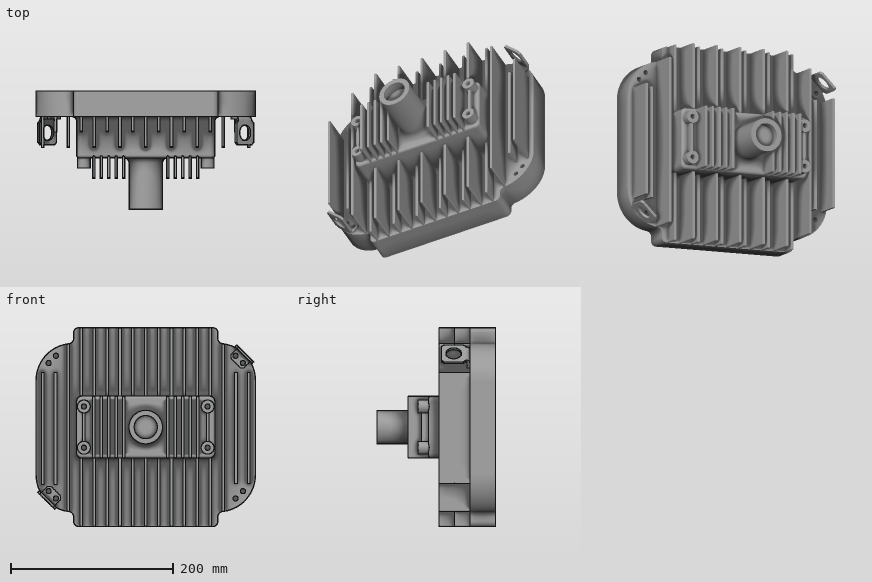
import cadquery as cq
import math


SELECTION_MARGIN = 0.1

BASE_WIDTH = 270.51
BASE_SIDE_HEIGHT = 207.5
BASE_SIDE_CENTER_Z = -0.635
BASE_CORNER_RADIUS = 45.72
BASE_THICKNESS = 31.75
SPINE_WIDTH = 177.8
SPINE_HEIGHT = 245.11
SPINE_RADIUS = 6.35

BLOCK_WIDTH = 170.18
BLOCK_HEIGHT = 76.2
BLOCK_LEVEL = BASE_THICKNESS + 50.8
BLOCK_RADIUS = 6.35
BLOCK_ROOT_RADIUS = 6.35
BLOCK_EDGE_RADIUS = 3.175
BLOCK_EDGE_LEVEL = BLOCK_LEVEL - BLOCK_EDGE_RADIUS

TUBE_DIAMETER = 41.275
TUBE_LEVEL = 146.05
TUBE_ROOT_RADIUS = 6.35
BORE_DIAMETER = 28.575
BORE_DEPTH = 12.7

FIN_THICKNESS = 3.175
FIN_END_RADIUS = 1.5
FIN_PITCH = 15.875
TALL_FIN_LEVEL = BASE_THICKNESS + 38.1
SHORT_FIN_LEVEL = BASE_THICKNESS + 19.05
SPINE_FINS_PER_SIDE = 5
SHOULDER_FIN = 6
SHOULDER_FIN_LENGTH = 207.0
SIDE_FINS = (7, 8)
SIDE_FIN_TOP = 67.5
SIDE_FIN_BOTTOM_LEFT = -70.9
SIDE_FIN_BOTTOM_RIGHT = -69.3

BLOCK_FIN_LEVEL = BASE_THICKNESS + 76.2
BLOCK_FIN_PITCH = 9.144
BLOCK_FIN_FIRST_X = 27.3
BLOCK_FINS_PER_SIDE = 5

BOSS_X = 76.2
BOSS_Z = 25.4
BOSS_DIAMETER = 15.875
BOSS_LEVEL = BASE_THICKNESS + 63.5
BOSS_HOLE_DIAMETER = 6.35
BOSS_HOLE_DEPTH = 12.7
RIB_THICKNESS = 3.175
RIB_LEVEL = 91.44

BRACKET_ANGLE = 45
MOUNT_X = 115.15
MOUNT_Z = 83.4
MOUNT_HOLE_SPACING = 12.7
MOUNT_HOLE_DIAMETER = 6.35
MOUNT_HOLE_DEPTH = 12.7
BRACKET_THICKNESS = 3.175
BRACKET_BEND_RADIUS = 1.5 * BRACKET_THICKNESS
BRACKET_CHAMFER = 3.175
FOOT_WIDTH = 22.86
FOOT_HOLE_TO_EDGE = 6.35
FOOT_HOLE_TO_LEG = 10.5
LUG_WIDTH = 29.6
LUG_LEVEL = BASE_THICKNESS + 34.925
LUG_HOLE_DIAMETER = 19.05


def front_plane(level):
    """Plane facing -Y at a level; its own x and y run along X and Z."""
    return cq.Workplane("XZ", origin=(0, -level, 0))


def upright_slab(x, z_low, z_high, thickness, level_low, level_high):
    """Upright slab centred on x, standing between two levels."""
    return (
        front_plane(level_low)
        .center(x, (z_low + z_high) / 2)
        .rect(thickness, z_high - z_low)
        .extrude(level_high - level_low)
    )


def fin(x, z_low, z_high, level_low, level_high):
    return upright_slab(x, z_low, z_high, FIN_THICKNESS, level_low, level_high)


def round_ended_fin(x, length, level_low, level_high, center_z=0):
    """Fin with the free edges of both end faces rounded."""
    plain = fin(x, center_z - length / 2, center_z + length / 2, level_low, level_high)
    hidden_edges = cq.selectors.BoxSelector(
        (x - FIN_THICKNESS, -level_low - FIN_END_RADIUS, -length),
        (x + FIN_THICKNESS, -level_low + FIN_END_RADIUS, length),
    )
    return plain.faces("<Z or >Z").edges(cq.selectors.InverseSelector(hidden_edges)).fillet(FIN_END_RADIUS)


def top_corner_filler(side_center_z):
    """Filler for the upper right inner corner where the spine leaves the side.

    Its concave arc touches the side of the spine and the large corner arc of the base.
    """
    arc_x = BASE_WIDTH / 2 - BASE_CORNER_RADIUS
    arc_z = side_center_z + BASE_SIDE_HEIGHT / 2 - BASE_CORNER_RADIUS
    round_x = SPINE_WIDTH / 2 + SPINE_RADIUS
    reach = BASE_CORNER_RADIUS + SPINE_RADIUS
    round_z = arc_z + math.sqrt(reach**2 - (round_x - arc_x) ** 2)
    touch_x = arc_x + (round_x - arc_x) * BASE_CORNER_RADIUS / reach
    touch_z = arc_z + (round_z - arc_z) * BASE_CORNER_RADIUS / reach
    middle_angle = (math.pi + math.atan2(touch_z - round_z, touch_x - round_x) % (2 * math.pi)) / 2
    middle = (
        round_x + SPINE_RADIUS * math.cos(middle_angle),
        round_z + SPINE_RADIUS * math.sin(middle_angle),
    )
    return (
        front_plane(0)
        .moveTo(SPINE_WIDTH / 2, round_z)
        .threePointArc(middle, (touch_x, touch_z))
        .lineTo(arc_x, arc_z)
        .lineTo(SPINE_WIDTH / 2, arc_z)
        .close()
        .extrude(BASE_THICKNESS)
    )


def base_plate():
    sides = (
        front_plane(0)
        .center(0, BASE_SIDE_CENTER_Z)
        .rect(BASE_WIDTH, BASE_SIDE_HEIGHT)
        .extrude(BASE_THICKNESS)
        .edges("|Y")
        .fillet(BASE_CORNER_RADIUS)
    )
    spine = (
        front_plane(0)
        .rect(SPINE_WIDTH, SPINE_HEIGHT)
        .extrude(BASE_THICKNESS)
        .edges("|Y")
        .fillet(SPINE_RADIUS)
    )
    corner_fillers = top_corner_filler(BASE_SIDE_CENTER_Z).union(
        top_corner_filler(-BASE_SIDE_CENTER_Z).mirror("XY")
    )
    return sides.union(spine).union(corner_fillers).union(corner_fillers.mirror("YZ"))


def add_block(body):
    block = (
        front_plane(0)
        .rect(BLOCK_WIDTH, BLOCK_HEIGHT)
        .extrude(BLOCK_LEVEL)
        .edges("|Y")
        .fillet(BLOCK_RADIUS)
        .faces("<Y")
        .edges()
        .fillet(BLOCK_EDGE_RADIUS)
    )
    joined = body.union(block)
    half_width = BLOCK_WIDTH / 2 + SELECTION_MARGIN
    half_height = BLOCK_HEIGHT / 2 + SELECTION_MARGIN
    root_edges = cq.selectors.BoxSelector(
        (-half_width, -BASE_THICKNESS - SELECTION_MARGIN, -half_height),
        (half_width, -BASE_THICKNESS + SELECTION_MARGIN, half_height),
        boundingbox=True,
    )
    return joined.edges(root_edges).fillet(BLOCK_ROOT_RADIUS)


def add_tube(body):
    tube_radius = TUBE_DIAMETER / 2
    flare_radius = tube_radius + TUBE_ROOT_RADIUS
    flare_level = BLOCK_LEVEL + TUBE_ROOT_RADIUS
    bend = TUBE_ROOT_RADIUS * (1 - math.sqrt(0.5))
    bore_bottom = TUBE_LEVEL - BORE_DEPTH
    profile = (
        cq.Workplane("XY")
        .moveTo(0, -BLOCK_LEVEL + BLOCK_EDGE_RADIUS)
        .lineTo(flare_radius, -BLOCK_LEVEL + BLOCK_EDGE_RADIUS)
        .lineTo(flare_radius, -BLOCK_LEVEL)
        .threePointArc((tube_radius + bend, -BLOCK_LEVEL - bend), (tube_radius, -flare_level))
        .lineTo(tube_radius, -TUBE_LEVEL)
        .lineTo(BORE_DIAMETER / 2, -TUBE_LEVEL)
        .lineTo(BORE_DIAMETER / 2, -bore_bottom)
        .lineTo(0, -bore_bottom)
        .close()
    )
    return body.union(profile.revolve(360, (0, 0, 0), (0, 1, 0)))


def base_fin_level(place):
    """Fins alternate: even places are tall, odd places are short."""
    return TALL_FIN_LEVEL if place % 2 == 0 else SHORT_FIN_LEVEL


def add_base_fins(body):
    for place in range(-SPINE_FINS_PER_SIDE, SPINE_FINS_PER_SIDE + 1):
        full = round_ended_fin(place * FIN_PITCH, SPINE_HEIGHT, BASE_THICKNESS, base_fin_level(place))
        body = body.union(full)
    for side in (-1, 1):
        shoulder = round_ended_fin(
            side * SHOULDER_FIN * FIN_PITCH,
            SHOULDER_FIN_LENGTH,
            BASE_THICKNESS,
            base_fin_level(SHOULDER_FIN),
            BASE_SIDE_CENTER_Z,
        )
        body = body.union(shoulder)
        bottom = SIDE_FIN_BOTTOM_LEFT if side < 0 else SIDE_FIN_BOTTOM_RIGHT
        for place in SIDE_FINS:
            x = side * place * FIN_PITCH
            body = body.union(fin(x, bottom, SIDE_FIN_TOP, BASE_THICKNESS, base_fin_level(place)))
    return body


def add_block_fins(body):
    for side in (-1, 1):
        for place in range(BLOCK_FINS_PER_SIDE):
            x = side * (BLOCK_FIN_FIRST_X + place * BLOCK_FIN_PITCH)
            body = body.union(round_ended_fin(x, BLOCK_HEIGHT, BLOCK_EDGE_LEVEL, BLOCK_FIN_LEVEL))
    return body


def add_bosses(body):
    for side in (-1, 1):
        body = body.union(
            upright_slab(side * BOSS_X, -BOSS_Z, BOSS_Z, RIB_THICKNESS, BLOCK_EDGE_LEVEL, RIB_LEVEL)
        )
    centres = [(x, z) for x in (-BOSS_X, BOSS_X) for z in (-BOSS_Z, BOSS_Z)]
    bosses = (
        front_plane(BLOCK_EDGE_LEVEL)
        .pushPoints(centres)
        .circle(BOSS_DIAMETER / 2)
        .extrude(BOSS_LEVEL - BLOCK_EDGE_LEVEL)
    )
    holes = (
        front_plane(BOSS_LEVEL)
        .pushPoints(centres)
        .circle(BOSS_HOLE_DIAMETER / 2)
        .extrude(-BOSS_HOLE_DEPTH)
    )
    return body.union(bosses).cut(holes)


def cut_mount_holes(body):
    """A diagonal pair of blind holes in each of the four base corners."""
    angle = math.radians(BRACKET_ANGLE)
    offset_x = MOUNT_HOLE_SPACING / 2 * math.cos(angle)
    offset_z = MOUNT_HOLE_SPACING / 2 * math.sin(angle)
    pair = [(MOUNT_X - offset_x, MOUNT_Z + offset_z), (MOUNT_X + offset_x, MOUNT_Z - offset_z)]
    centres = [(side_x * x, side_z * z) for side_x in (-1, 1) for side_z in (-1, 1) for x, z in pair]
    holes = (
        front_plane(BASE_THICKNESS)
        .pushPoints(centres)
        .circle(MOUNT_HOLE_DIAMETER / 2)
        .extrude(-MOUNT_HOLE_DEPTH)
    )
    return body.cut(holes)


def make_housing():
    body = add_block(base_plate())
    body = add_tube(body)
    body = add_base_fins(body)
    body = add_block_fins(body)
    body = add_bosses(body)
    return cut_mount_holes(body)


def make_bracket():
    """Bent bracket on the upper right corner.

    It is made with its width along X and its foot reaching out along +Z from the
    midpoint of its two holes, then turned so that the lug faces the corner.
    """
    leg_out = FOOT_HOLE_TO_LEG
    bend_level = BASE_THICKNESS + BRACKET_BEND_RADIUS
    foot_top = BASE_THICKNESS + BRACKET_THICKNESS
    bend_start = leg_out - BRACKET_BEND_RADIUS
    outer_reach = BRACKET_BEND_RADIUS * math.sqrt(0.5)
    inner_radius = BRACKET_BEND_RADIUS - BRACKET_THICKNESS
    inner_reach = inner_radius * math.sqrt(0.5)
    foot = (
        cq.Workplane("YZ")
        .moveTo(-BASE_THICKNESS, -FOOT_HOLE_TO_EDGE)
        .lineTo(-BASE_THICKNESS, bend_start)
        .threePointArc((-bend_level + outer_reach, bend_start + outer_reach), (-bend_level, leg_out))
        .lineTo(-bend_level, leg_out - BRACKET_THICKNESS)
        .threePointArc((-bend_level + inner_reach, bend_start + inner_reach), (-foot_top, bend_start))
        .lineTo(-foot_top, -FOOT_HOLE_TO_EDGE)
        .close()
        .extrude(FOOT_WIDTH / 2, both=True)
        .faces("<Z")
        .edges("|Y")
        .chamfer(BRACKET_CHAMFER)
    )
    lug_height = LUG_LEVEL - bend_level
    lug_plane = cq.Workplane("XY", origin=(0, -bend_level - lug_height / 2, leg_out))
    lug_hole = lug_plane.circle(LUG_HOLE_DIAMETER / 2).extrude(-BRACKET_THICKNESS)
    lug = (
        lug_plane.rect(LUG_WIDTH, lug_height)
        .extrude(-BRACKET_THICKNESS)
        .edges("|Z")
        .chamfer(BRACKET_CHAMFER)
        .cut(lug_hole)
    )
    foot_holes = (
        front_plane(BASE_THICKNESS)
        .pushPoints([(-MOUNT_HOLE_SPACING / 2, 0), (MOUNT_HOLE_SPACING / 2, 0)])
        .circle(MOUNT_HOLE_DIAMETER / 2)
        .extrude(BRACKET_THICKNESS)
    )
    return (
        foot.union(lug)
        .cut(foot_holes)
        .rotate((0, 0, 0), (0, 1, 0), BRACKET_ANGLE)
        .translate((MOUNT_X, 0, MOUNT_Z))
    )


housing = make_housing()
upper_bracket = make_bracket()
brackets = [upper_bracket.rotate((0, 0, 0), (0, 1, 0), turn) for turn in (0, 180)]

result = cq.Compound.makeCompound([housing.val(), *[bracket.val() for bracket in brackets]])